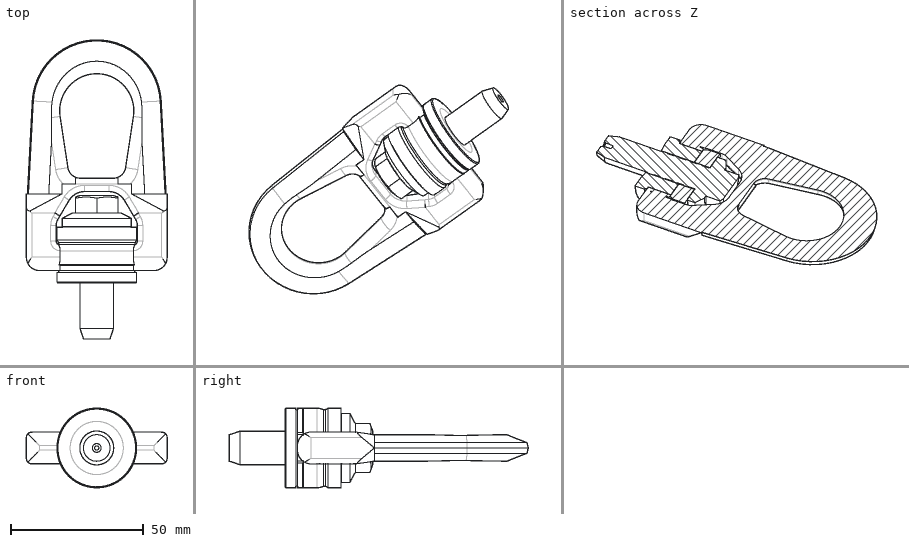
import cadquery as cq
import math


PIN_D = 12.7
PIN_END_Y = -21.0
PIN_TIP_D = 10.0
PIN_TIP_LENGTH = 4.0
CENTER_HOLE_D = 1.6
CENTER_HOLE_DEPTH = 4.0
CENTER_SINK_D = 3.3
COLLAR_D = 26.0
COLLAR_EDGE_Y = 24.4
COLLAR_CHAMFER = 0.25
HEX_FLATS = 16.0
HEX_TURN = 30.0
HEX_BASE_Y = 26.4
HEX_TOP_Y = 33.0
HEX_TOP_D = 12.6
HEX_CHAMFER_ANGLE = 20.0

STACK_D = 30.0
BOLT_HOLE_D = 12.8
FLANGE_TOP_Y = 4.1
FLANGE_CHAMFER = 0.4
NECK_D = 28.7
ARM_BOTTOM_Y = 4.7
SEAM_Y = 6.8
SEAM_CHAMFER = 0.17
CORE_D = 26.0
NOTCH_HALF_ANGLE = 22.5
RECESS_D = 20.0
RECESS_DEPTH = 0.4
EYE_SHOULDER_Y = 12.1
EYE_TOP_Y = 14.5
EYE_TOP_D = 28.8
RETAINER_NECK_Y = 15.2
RETAINER_EDGE_Y = 16.2
RETAINER_TOP_Y = 21.05

LOOP_Z = 5.0

ARM_X = 26.5
ARM_Z = 6.0
ARM_CORNER_R = 5.0
ARM_BOTTOM_R = 5.15
ARM_SIDE_R = 2.1
SLOPE_START_Y = 26.4
BASE_TOP_Y = 33.6
BRIDGE_X = 13.0
BRIDGE_TOP_Y = 37.3
SHOULDER_SLOPE = (ARM_Z - LOOP_Z) / (BASE_TOP_Y - SLOPE_START_Y)
BRIDGE_TOP_Z = ARM_Z - SHOULDER_SLOPE * (BRIDGE_TOP_Y - SLOPE_START_Y)
WINDOW_X = 15.2
WINDOW_BOTTOM_Y = 14.3
WINDOW_SIDE_TOP_Y = 22.9
WINDOW_TOP_X = 8.45
WINDOW_TOP_Y = 34.4
WINDOW_TOP_R = 6.8
WINDOW_SIDE_R = 4.5
WINDOW_BOTTOM_R = 1.5
WINDOW_EDGE_R = 2.1

LOOP_TOP_Y = 91.5
LOOP_R = 24.3
LOOP_FOOT_X = 26.1
NOSE_Z = 2.0
NOSE_INSET = 0.45
BEVEL_WIDTH = 7.6
HOLE_TOP_Y = 78.7
HOLE_R = 13.9
HOLE_BOTTOM_Y = 39.5
HOLE_BOTTOM_X = 10.2
HOLE_CORNER_R = 4.6
HOLE_EDGE_R = 4.7
CROSSBAR_X = 8.0
CROSSBAR_EDGE_R = 2.2


def revolved(points):
    """Turn a closed (radius, Y) outline around the Y axis."""
    return cq.Workplane("XY").polyline(points).close().revolve(360, (0, 0, 0), (0, 1, 0))


def block(half_x, bottom_y, top_y, half_z):
    """Box centred on the Y axis, from bottom_y to top_y."""
    return cq.Workplane("XY", origin=(0, (bottom_y + top_y) / 2, 0)).box(
        2 * half_x, top_y - bottom_y, 2 * half_z
    )


def cylinder(diameter, bottom_y, top_y):
    return cq.Workplane("XZ", origin=(0, bottom_y, 0)).circle(diameter / 2).extrude(bottom_y - top_y)


def tangent_point(center_y, radius, x, y):
    """Point on the right side of a circle where the line from the lower point (x, y) touches it."""
    distance = math.hypot(x, y - center_y)
    angle = math.atan2(y - center_y, x) + math.acos(radius / distance)
    return radius * math.cos(angle), center_y + radius * math.sin(angle)


def arched_outline(top_y, radius, bottom_x, bottom_y, end_y=None):
    """Round arch with straight tangent sides through (bottom_x, bottom_y), cut off level at end_y."""
    x, y = tangent_point(top_y - radius, radius, bottom_x, bottom_y)
    if end_y is not None:
        bottom_x += (bottom_x - x) * (bottom_y - end_y) / (y - bottom_y)
        bottom_y = end_y
    return (
        cq.Workplane("XY")
        .moveTo(-bottom_x, bottom_y)
        .lineTo(-x, y)
        .threePointArc((0, top_y), (x, y))
        .lineTo(bottom_x, bottom_y)
        .close()
    )


def make_bolt():
    hex_corner_r = HEX_FLATS / math.sqrt(3)
    chamfer_slope = math.tan(math.radians(HEX_CHAMFER_ANGLE))
    corner_y = HEX_TOP_Y - (hex_corner_r - HEX_TOP_D / 2) * chamfer_slope
    body = revolved([
        (0, PIN_END_Y),
        (PIN_TIP_D / 2, PIN_END_Y),
        (PIN_D / 2, PIN_END_Y + PIN_TIP_LENGTH),
        (PIN_D / 2, RETAINER_TOP_Y),
        (COLLAR_D / 2 - COLLAR_CHAMFER, RETAINER_TOP_Y),
        (COLLAR_D / 2, RETAINER_TOP_Y + COLLAR_CHAMFER),
        (COLLAR_D / 2, COLLAR_EDGE_Y),
        (hex_corner_r, HEX_BASE_Y),
        (0, HEX_BASE_Y),
    ])
    head = (
        cq.Workplane("XZ", origin=(0, HEX_BASE_Y, 0))
        .polygon(6, 2 * hex_corner_r)
        .extrude(HEX_BASE_Y - HEX_TOP_Y)
        .rotate((0, 0, 0), (0, 1, 0), HEX_TURN)
    )
    head_envelope = revolved([
        (0, HEX_BASE_Y),
        (hex_corner_r, HEX_BASE_Y),
        (hex_corner_r, corner_y),
        (HEX_TOP_D / 2, HEX_TOP_Y),
        (0, HEX_TOP_Y),
    ])
    sink_depth = (CENTER_SINK_D - CENTER_HOLE_D) / 2
    center_hole = revolved([
        (0, PIN_END_Y),
        (CENTER_SINK_D / 2, PIN_END_Y),
        (CENTER_HOLE_D / 2, PIN_END_Y + sink_depth),
        (CENTER_HOLE_D / 2, PIN_END_Y + CENTER_HOLE_DEPTH),
        (0, PIN_END_Y + CENTER_HOLE_DEPTH),
    ])
    return body.union(head.intersect(head_envelope)).cut(center_hole)


def make_bushing():
    """Bottom flange with a core inside the eye and a low rim that leaves room for the arms."""
    r = STACK_D / 2
    flange = revolved([
        (BOLT_HOLE_D / 2, RECESS_DEPTH),
        (RECESS_D / 2, 0),
        (r - FLANGE_CHAMFER, 0),
        (r, FLANGE_CHAMFER),
        (r, FLANGE_TOP_Y),
        (NECK_D / 2, FLANGE_TOP_Y),
        (NECK_D / 2, ARM_BOTTOM_Y),
        (CORE_D / 2, ARM_BOTTOM_Y),
        (CORE_D / 2, EYE_TOP_Y),
        (BOLT_HOLE_D / 2, EYE_TOP_Y),
    ])
    rim = revolved([
        (CORE_D / 2, ARM_BOTTOM_Y),
        (r, ARM_BOTTOM_Y),
        (r, SEAM_Y - SEAM_CHAMFER),
        (r - SEAM_CHAMFER, SEAM_Y),
        (CORE_D / 2, SEAM_Y),
    ])
    reach = STACK_D
    half_width = reach * math.tan(math.radians(NOTCH_HALF_ANGLE))
    for side in (-1, 1):
        notch = (
            cq.Workplane("XZ", origin=(0, ARM_BOTTOM_Y, 0))
            .polyline([(0, 0), (side * reach, half_width), (side * reach, -half_width)])
            .close()
            .extrude(ARM_BOTTOM_Y - SEAM_Y)
        )
        rim = rim.cut(notch)
    return flange.union(rim)


def make_retainer():
    return revolved([
        (BOLT_HOLE_D / 2, EYE_TOP_Y),
        (EYE_TOP_D / 2, EYE_TOP_Y),
        (EYE_TOP_D / 2, RETAINER_NECK_Y),
        (STACK_D / 2, RETAINER_EDGE_Y),
        (STACK_D / 2, RETAINER_TOP_Y),
        (BOLT_HOLE_D / 2, RETAINER_TOP_Y),
    ])


def make_window():
    """Opening in the base around the bolt head and the retainer."""
    return (
        cq.Workplane("XY")
        .polyline([
            (-WINDOW_X, WINDOW_BOTTOM_Y),
            (-WINDOW_X, WINDOW_SIDE_TOP_Y),
            (-WINDOW_TOP_X, WINDOW_TOP_Y),
            (WINDOW_TOP_X, WINDOW_TOP_Y),
            (WINDOW_X, WINDOW_SIDE_TOP_Y),
            (WINDOW_X, WINDOW_BOTTOM_Y),
        ])
        .close()
        .extrude(ARM_Z, both=True)
        .edges("|Z and >Y")
        .fillet(WINDOW_TOP_R)
        .edges("|Z and (<X or >X) and (not <Y)")
        .fillet(WINDOW_SIDE_R)
        .edges("|Z and <Y")
        .fillet(WINDOW_BOTTOM_R)
    )


class WindowRim(cq.Selector):
    """Edges of the window where it opens on the upper (+1) or lower (-1) face of the base."""

    def __init__(self, side_z):
        self.side_z = side_z

    def filter(self, edges):
        return [edge for edge in edges if self.on_rim(edge.BoundingBox())]

    def on_rim(self, box):
        margin = 0.05
        middle_z = (box.zmin + box.zmax) / 2
        return (
            max(box.xmax, -box.xmin) < WINDOW_X + margin
            and WINDOW_BOTTOM_Y - margin < box.ymin
            and box.ymax < WINDOW_TOP_Y + margin
            and self.side_z * middle_z > BRIDGE_TOP_Z / 2
        )


def bevel_cutter(side_x, side_z):
    """Wedge that carries the bevel of the loop into one shoulder of the base."""
    outer_x = ARM_X * side_x
    base = [
        cq.Vector(outer_x, BASE_TOP_Y, 0),
        cq.Vector(BRIDGE_X * side_x, BASE_TOP_Y, LOOP_Z * side_z),
        cq.Vector(outer_x, SLOPE_START_Y, ARM_Z * side_z),
    ]
    apex = cq.Vector(2 * outer_x, 2 * BASE_TOP_Y, 3 * ARM_Z * side_z)
    triangles = [base, [base[0], base[1], apex], [base[1], base[2], apex], [base[2], base[0], apex]]
    faces = [cq.Face.makeFromWires(cq.Wire.makePolygon(points, close=True)) for points in triangles]
    return cq.Solid.makeSolid(cq.Shell.makeShell(faces))


def make_base():
    """Arms, shoulders and bridge as one block, rounded by crossing three extruded outlines."""
    plan = (
        block(ARM_X, ARM_BOTTOM_Y, BASE_TOP_Y, ARM_Z)
        .edges("|Z and <Y")
        .fillet(ARM_CORNER_R)
    )
    bridge = block(BRIDGE_X, SLOPE_START_Y, BRIDGE_TOP_Y, ARM_Z)
    side = (
        cq.Workplane("YZ", origin=(-ARM_X, 0, 0))
        .polyline([
            (ARM_BOTTOM_Y, -ARM_Z),
            (SLOPE_START_Y, -ARM_Z),
            (BRIDGE_TOP_Y, -BRIDGE_TOP_Z),
            (BRIDGE_TOP_Y, BRIDGE_TOP_Z),
            (SLOPE_START_Y, ARM_Z),
            (ARM_BOTTOM_Y, ARM_Z),
        ])
        .close()
        .extrude(2 * ARM_X)
        .edges("|X and <Y")
        .fillet(ARM_BOTTOM_R)
    )
    end = (
        cq.Workplane("XZ")
        .rect(2 * ARM_X, 2 * ARM_Z)
        .extrude(-BRIDGE_TOP_Y)
        .edges("|Y")
        .fillet(ARM_SIDE_R)
    )
    base = plan.intersect(side).intersect(end)
    for side_x in (-1, 1):
        for side_z in (-1, 1):
            base = base.cut(bevel_cutter(side_x, side_z))
    base = base.union(bridge.intersect(side)).cut(make_window())
    for side_z in (-1, 1):
        base = base.edges(WindowRim(side_z)).fillet(WINDOW_EDGE_R)
    return base


def hole_rim(side_z):
    """Selector of the hole's edge on the upper (+1) or lower (-1) face of the loop."""
    margin = 1.0
    z = side_z * LOOP_Z
    low = (-HOLE_R - margin, HOLE_BOTTOM_Y - margin, z - margin)
    high = (HOLE_R + margin, HOLE_TOP_Y + margin, z + margin)
    return cq.selectors.BoxSelector(low, high)


def make_loop():
    """Arch with bevelled outer sides and a pear-shaped hole with rounded edges."""
    run_out = BASE_TOP_Y - NOSE_INSET - BEVEL_WIDTH
    outer = arched_outline(LOOP_TOP_Y, LOOP_R, LOOP_FOOT_X, BASE_TOP_Y, run_out)
    nose = outer.extrude(NOSE_Z, taper=math.degrees(math.atan2(NOSE_INSET, NOSE_Z)))
    bevel_height = LOOP_Z - NOSE_Z
    bevel = (
        nose.faces(">Z")
        .wires()
        .toPending()
        .workplane()
        .extrude(bevel_height, combine=False, taper=math.degrees(math.atan2(BEVEL_WIDTH, bevel_height)))
    )
    upper = nose.union(bevel)
    bevelled = upper.union(upper.mirror("XY"))

    hole = (
        arched_outline(HOLE_TOP_Y, HOLE_R, HOLE_BOTTOM_X, HOLE_BOTTOM_Y)
        .extrude(LOOP_Z, both=True)
        .edges("|Z and <Y")
        .fillet(HOLE_CORNER_R)
    )
    plate = block(ARM_X, BASE_TOP_Y, LOOP_TOP_Y, LOOP_Z).cut(hole)
    for side_z in (-1, 1):
        plate = plate.edges(hole_rim(side_z)).fillet(HOLE_EDGE_R)

    crossbar = (
        block(CROSSBAR_X, BASE_TOP_Y, HOLE_BOTTOM_Y, BRIDGE_TOP_Z)
        .edges("|X and >Y")
        .fillet(CROSSBAR_EDGE_R)
    )
    return bevelled.intersect(plate).union(crossbar)


def make_eye():
    """Round eye between the arms, with a rounded shoulder below the retainer."""
    r = STACK_D / 2
    drop = r - EYE_TOP_D / 2
    rise = EYE_TOP_Y - EYE_SHOULDER_Y
    shoulder_r = (drop**2 + rise**2) / (2 * drop)
    half_angle = math.asin(rise / shoulder_r) / 2
    middle_x = r - shoulder_r * (1 - math.cos(half_angle))
    middle_y = EYE_SHOULDER_Y + shoulder_r * math.sin(half_angle)
    return (
        cq.Workplane("XY")
        .moveTo(CORE_D / 2, SEAM_Y)
        .lineTo(r - SEAM_CHAMFER, SEAM_Y)
        .lineTo(r, SEAM_Y + SEAM_CHAMFER)
        .lineTo(r, EYE_SHOULDER_Y)
        .threePointArc((middle_x, middle_y), (EYE_TOP_D / 2, EYE_TOP_Y))
        .lineTo(CORE_D / 2, EYE_TOP_Y)
        .close()
        .revolve(360, (0, 0, 0), (0, 1, 0))
    )


def make_bail(bushing):
    """Loop, base and eye as one body, cleared around the bushing and the retainer."""
    bridge_space = block(BRIDGE_X, BASE_TOP_Y, BRIDGE_TOP_Y, LOOP_Z)
    frame = make_loop().cut(bridge_space).union(make_base())
    frame = frame.cut(cylinder(STACK_D, SEAM_Y, RETAINER_EDGE_Y))
    frame = frame.cut(cylinder(CORE_D, ARM_BOTTOM_Y, SEAM_Y))
    return frame.cut(bushing).union(make_eye())


bolt = make_bolt()
bushing = make_bushing()
retainer = make_retainer()
bail = make_bail(bushing)

result = cq.Compound.makeCompound([bail.val(), bushing.val(), retainer.val(), bolt.val()])